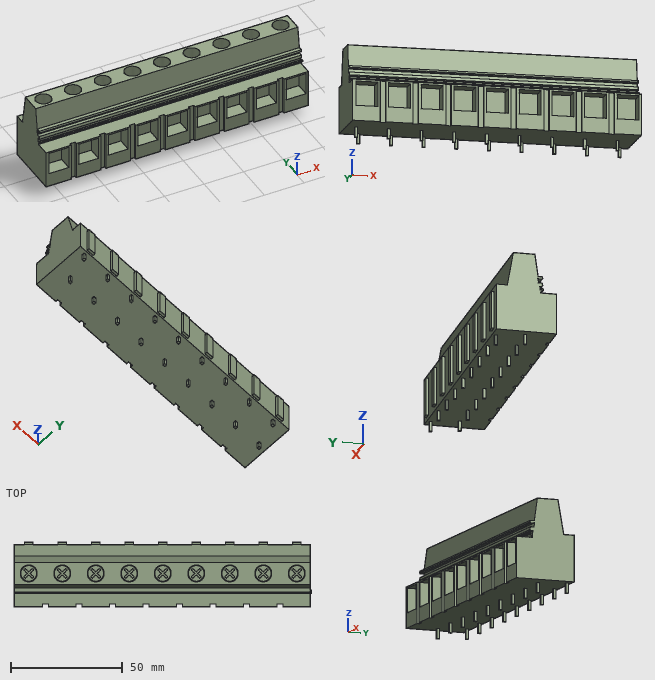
import cadquery as cq


pole_count = 9
pole_row_length = 120.0
pole_pitch = pole_row_length / (pole_count - 1)
first_pole_x = 6.5

body_length = 132.6
body_depth = 27.8
front_shelf_height = 18.9
back_shelf_height = 21.3
body_height = 37.0
tower_front_y = 10.0
tower_back_y = 20.0
tower_back_foot_y = 22.7

tower_foot_y = 8.5
middle_wall_top_y = 8.6
middle_wall_bottom_y = 8.4
lower_wall_top_y = 7.8
lower_wall_bottom_y = 7.6

rib_upper_tip_y = 6.6
rib_lower_tip_y = 6.4
upper_rib_top = 26.6
upper_rib_bottom = 25.4
middle_rib_top = 23.7
middle_rib_bottom = 22.0
rib_chamfer = 0.4

strip_length = 133.0
strip_tip_y = 6.0
strip_crest_y = 6.8
strip_foot_y = 7.3
strip_top = 20.9
strip_back_height = 20.3
strip_foot_top = 19.3

groove_width = 2.5
groove_depth = 1.2
key_depth = 1.2
key_root_width = 4.0
key_tip_width = 3.7
key_bottom = 1.9
key_top = 19.3

entry_width = 10.0
entry_bottom = 6.9
entry_top = 18.1
entry_depth = 6.9

screw_y = (tower_front_y + tower_back_y) / 2
screw_hole_diameter = 7.6
screw_hole_depth = 12.0
screw_head_diameter = 7.0
screw_head_height = 2.7
cross_length = 5.3
cross_width = 0.9
cross_depth = 1.0

pin_width = 1.2
pin_length = 4.5
pin_spacing = 3.9
pin_front_y = 13.4
pin_back_y = 26.0


def box(x_size, y_size, z_size, x_center, y_center, z_bottom):
    return (
        cq.Workplane("XY")
        .box(x_size, y_size, z_size, centered=(True, True, False))
        .translate((x_center, y_center, z_bottom))
    )


def bar_along_x(section, length):
    return cq.Workplane("YZ").polyline(section).close().extrude(length)


def housing():
    section = [
        (0, 0),
        (body_depth, 0),
        (body_depth, back_shelf_height),
        (tower_back_foot_y, back_shelf_height),
        (tower_back_y, body_height),
        (tower_front_y, body_height),
        (tower_foot_y, upper_rib_top),
        (rib_upper_tip_y, upper_rib_top),
        (rib_lower_tip_y, upper_rib_bottom + rib_chamfer),
        (rib_lower_tip_y + rib_chamfer, upper_rib_bottom),
        (middle_wall_top_y - rib_chamfer, upper_rib_bottom),
        (middle_wall_top_y, upper_rib_bottom + rib_chamfer),
        (middle_wall_bottom_y, middle_rib_top),
        (rib_upper_tip_y, middle_rib_top),
        (rib_lower_tip_y, middle_rib_bottom + rib_chamfer),
        (rib_lower_tip_y + rib_chamfer, middle_rib_bottom),
        (lower_wall_top_y, middle_rib_bottom),
        (lower_wall_bottom_y, strip_back_height),
        (lower_wall_bottom_y, front_shelf_height),
        (0, front_shelf_height),
    ]
    return bar_along_x(section, body_length)


def barbed_strip():
    section = [
        (lower_wall_bottom_y, front_shelf_height),
        (strip_foot_y, front_shelf_height),
        (strip_foot_y, strip_foot_top),
        (strip_tip_y, strip_back_height),
        (strip_tip_y, strip_top),
        (strip_crest_y, strip_top),
        (strip_crest_y, strip_back_height),
        (lower_wall_bottom_y, strip_back_height),
    ]
    return bar_along_x(section, strip_length)


def groove(x):
    return box(groove_width, 2 * groove_depth, front_shelf_height, x, 0, 0)


def key(x):
    tip_y = body_depth + key_depth
    outline = [
        (x - key_root_width / 2, body_depth),
        (x + key_root_width / 2, body_depth),
        (x + key_tip_width / 2, tip_y),
        (x - key_tip_width / 2, tip_y),
    ]
    return (
        cq.Workplane("XY", origin=(0, 0, key_bottom))
        .polyline(outline)
        .close()
        .extrude(key_top - key_bottom)
    )


def wire_entry(x):
    return box(entry_width, entry_depth, entry_top - entry_bottom, x, entry_depth / 2, entry_bottom)


def screw_hole(x):
    return (
        cq.Workplane("XY", origin=(x, screw_y, body_height - screw_hole_depth))
        .circle(screw_hole_diameter / 2)
        .extrude(screw_hole_depth)
    )


def screw_head(x):
    floor = body_height - screw_hole_depth
    head = (
        cq.Workplane("XY", origin=(x, screw_y, floor))
        .circle(screw_head_diameter / 2)
        .extrude(screw_head_height)
    )
    slot_bottom = floor + screw_head_height - cross_depth
    for angle in (45, 135):
        slot = (
            cq.Workplane("XY", origin=(x, screw_y, slot_bottom))
            .transformed(rotate=(0, 0, angle))
            .rect(cross_length, cross_width)
            .extrude(cross_depth)
        )
        head = head.cut(slot)
    return head


def solder_pin(x, y):
    return box(pin_width, pin_width, pin_length, x, y, -pin_length)


pole_centers = [first_pole_x + pole * pole_pitch for pole in range(pole_count)]

result = housing().union(barbed_strip())
for pole_x in pole_centers[:-1]:
    result = result.cut(groove(pole_x + pole_pitch / 2))
for pole_x in pole_centers:
    result = result.cut(wire_entry(pole_x))
    result = result.cut(screw_hole(pole_x))
    result = result.union(screw_head(pole_x))
    result = result.union(key(pole_x))
    result = result.union(solder_pin(pole_x - pin_spacing / 2, pin_front_y))
    result = result.union(solder_pin(pole_x + pin_spacing / 2, pin_back_y))